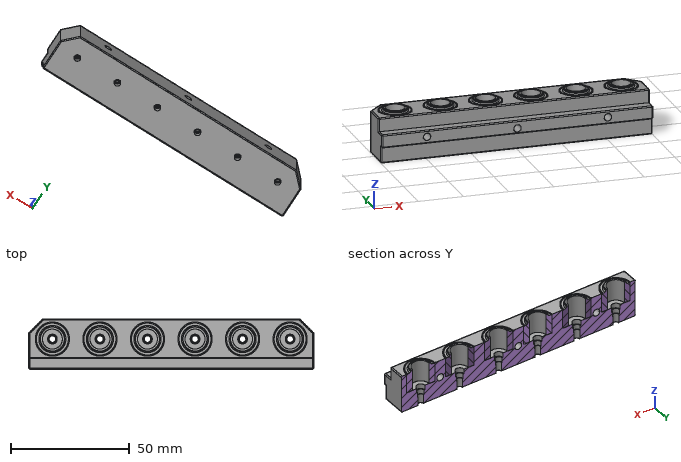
import cadquery as cq

length = 120.0
block_height = 19.0
back_y = 20.2
upper_front_y = 3.5
rail_overhang = 1.1
rail_bottom = 7.1
rail_top = 13.0
corner_cut = 6.0
edge_chamfer = 0.5

bush_count = 6
bush_pitch = length / bush_count
bush_y = 11.6
bush_diameter = 14.4
bush_bore = 8.4
bush_depth = 9.6
bush_rim_chamfer = 0.5
bush_top = 20.0
head_diameter = 10.5
head_chamfer = 0.18
head_flare = 0.5

port_diameter = 2.8
port_step_diameter = 3.2
port_step_depth = 4.8
port_mouth_diameter = 4.1
port_mouth_depth = 2.4

mount_hole_diameter = 3.2
mount_hole_pitch = 2 * bush_pitch
outer_mount_hole_z = 10.1
middle_mount_hole_z = 9.5

seat_z = block_height - bush_depth
bush_positions = [((i - (bush_count - 1) / 2) * bush_pitch, bush_y) for i in range(bush_count)]
mount_hole_positions = [
    (-mount_hole_pitch, outer_mount_hole_z),
    (0, middle_mount_hole_z),
    (mount_hole_pitch, outer_mount_hole_z),
]


def block_blank():
    """Stepped bar with cut back corners and chamfered edges."""
    section = [
        (0, 0),
        (back_y, 0),
        (back_y, block_height),
        (upper_front_y, block_height),
        (upper_front_y, rail_top),
        (-rail_overhang, rail_top),
        (-rail_overhang, rail_bottom),
        (0, rail_bottom),
    ]
    bar = cq.Workplane("YZ", origin=(-length / 2, 0, 0)).polyline(section).close().extrude(length)
    bar = bar.edges("|Z and >Y").chamfer(corner_cut)
    end_edges = bar.faces("<X or >X").edges("not (|Z and >Y)")
    return bar.faces("<Z or >Z or <Y").edges().add(end_edges).chamfer(edge_chamfer)


def bush_hole_cutter(diameter, bottom, top):
    """Cylinders of one diameter on all the bush axes."""
    plane = cq.Workplane("XY", origin=(0, 0, bottom))
    return plane.pushPoints(bush_positions).circle(diameter / 2).extrude(top - bottom)


def mount_hole_cutter():
    plane = cq.Workplane("XZ", origin=(0, back_y, 0))
    return plane.pushPoints(mount_hole_positions).circle(mount_hole_diameter / 2).extrude(back_y + rail_overhang)


def make_block():
    block = block_blank().cut(mount_hole_cutter())
    block = block.cut(bush_hole_cutter(bush_diameter, seat_z, block_height))
    block = block.cut(bush_hole_cutter(port_mouth_diameter, seat_z - port_mouth_depth, seat_z))
    block = block.cut(bush_hole_cutter(port_step_diameter, seat_z - port_step_depth, seat_z))
    return block.cut(bush_hole_cutter(port_diameter, 0, seat_z))


def make_bush(x, y):
    """Sleeve turned about its own axis; profile points are (radius, height above the seat)."""
    bore_radius = bush_bore / 2
    outer_radius = bush_diameter / 2
    head_radius = head_diameter / 2
    bush_height = bush_top - seat_z
    profile = [
        (bore_radius, 0),
        (outer_radius, 0),
        (outer_radius, bush_depth - bush_rim_chamfer),
        (outer_radius - bush_rim_chamfer, bush_depth),
        (head_radius + head_flare, bush_depth),
        (head_radius, bush_depth + head_flare),
        (head_radius, bush_height - head_chamfer),
        (head_radius - head_chamfer, bush_height),
        (bore_radius, bush_height),
    ]
    plane = cq.Workplane("XZ", origin=(x, y, seat_z))
    return plane.polyline(profile).close().revolve(360, (0, 0, 0), (0, 1, 0))


block = make_block()
bushes = [make_bush(x, y) for x, y in bush_positions]

result = cq.Compound.makeCompound([block.solids().val(), *[bush.val() for bush in bushes]])